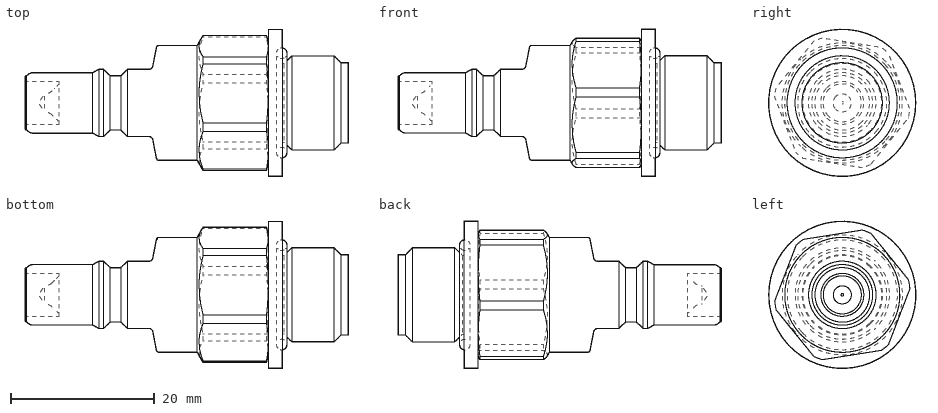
import cadquery as cq
import math


mouth_r = 3.6
mouth_round = 0.202
lead_in_end_x = 0.45
lead_in_end_r = 4.0
plug_r = 4.25
plug_blend_x = 1.0
plug_end_x = 9.4

land_r = 9.4 / 2
land_start_x = 10.25
land_end_x = 10.9
neck_r = 7.6 / 2
neck_start_x = 11.85
neck_end_x = 13.3
shank_start_x = 14.25

body_r = 8.0
body_fillet = 0.35
rim_tolerance = 0.05
body_root_x = 17.78
root_fillet = 0.55
body_front_x = 18.3

hex_across_flats = 16.95
hex_corner_diameter = hex_across_flats / math.cos(math.pi / 6)
hex_corner_r = 9.45
hex_turn_angle = -9.0
hex_start_x = 23.95
hex_chamfer_angle = 30
hex_front_chamfer = (hex_corner_r - body_r) * math.tan(math.radians(hex_chamfer_angle))
hex_back_r = 8.35
hex_back_chamfer = 0.25

flange_r = 10.25
flange_start_x = 33.9
flange_end_x = 35.8

thread_r = 6.55
undercut_r = 5.5
thread_start_x = 37.12
nose_r = 11.2 / 2
thread_end_x = 43.0
total_length = 45.0

ring_section_r = 1.5 / 2
ring_center_r = 6.95
ring_center_x = 35.75

bore_r = 6.0 / 2
tip_x = 2.0
tip_r = 0.2
tip_cone_r = 1.25
cone_base_r = 2.65
tip_cone_length = 0.7
stem_blend_r = 1.55
cone_angle = 45


def revolve_about_x(profile):
    """Turn a closed XY profile a full circle about the X axis."""
    return profile.revolve(360, (0, 0, 0), (1, 0, 0))


def make_plug():
    """Turned front part, from the mouth to the front of the hexagon."""
    mouth_edge_r = mouth_r + mouth_round
    half = math.sqrt(0.5)
    root_center_r = land_r + root_fillet
    root_arc_start_x = body_root_x - root_fillet
    root_mid = (root_arc_start_x + root_fillet * half, root_center_r - root_fillet * half)
    body = revolve_about_x(
        cq.Workplane("XY")
        .moveTo(0, 0)
        .lineTo(0, mouth_r)
        .threePointArc(
            (mouth_round * (1 - half), mouth_r + mouth_round * half),
            (mouth_round, mouth_edge_r),
        )
        .lineTo(lead_in_end_x, lead_in_end_r)
        .tangentArcPoint((plug_blend_x, plug_r), relative=False)
        .lineTo(plug_end_x, plug_r)
        .lineTo(land_start_x, land_r)
        .lineTo(land_end_x, land_r)
        .lineTo(neck_start_x, neck_r)
        .lineTo(neck_end_x, neck_r)
        .lineTo(shank_start_x, land_r)
        .lineTo(root_arc_start_x, land_r)
        .threePointArc(root_mid, (body_root_x, root_center_r))
        .lineTo(body_front_x, body_r)
        .lineTo(hex_start_x, body_r)
        .lineTo(hex_start_x, 0)
        .close()
    )
    rim = cq.selectors.BoxSelector(
        (body_front_x - rim_tolerance, -flange_r, -flange_r),
        (body_front_x + rim_tolerance, flange_r, flange_r),
    )
    return body.edges(rim).fillet(body_fillet)


def make_hexagon():
    """Hexagon with turned corners and conical chamfers at both ends."""
    prism = (
        cq.Workplane("YZ")
        .workplane(offset=hex_start_x)
        .polygon(6, hex_corner_diameter)
        .extrude(flange_start_x - hex_start_x)
        .rotate((0, 0, 0), (1, 0, 0), hex_turn_angle)
    )
    envelope = revolve_about_x(
        cq.Workplane("XY").polyline([
            (hex_start_x, 0),
            (hex_start_x, body_r),
            (hex_start_x + hex_front_chamfer, hex_corner_r),
            (flange_start_x - hex_back_chamfer, hex_corner_r),
            (flange_start_x, hex_back_r),
            (flange_start_x, 0),
        ]).close()
    )
    return prism.intersect(envelope)


def make_threaded_end():
    """Flange, undercut, thread cylinder and nose."""
    undercut_end_x = thread_start_x - (thread_r - undercut_r)
    nose_start_x = thread_end_x + (thread_r - nose_r)
    return revolve_about_x(
        cq.Workplane("XY").polyline([
            (flange_start_x, 0),
            (flange_start_x, flange_r),
            (flange_end_x, flange_r),
            (flange_end_x, undercut_r),
            (undercut_end_x, undercut_r),
            (thread_start_x, thread_r),
            (thread_end_x, thread_r),
            (nose_start_x, nose_r),
            (total_length, nose_r),
            (total_length, 0),
        ]).close()
    )


def make_bore():
    """Volume removed from the mouth, leaving a pointed cone on the floor."""
    tip_cone_end_x = tip_x + tip_cone_length
    slope = math.radians(cone_angle)
    blend_end_x = tip_cone_end_x + stem_blend_r * math.sin(slope)
    blend_end_r = tip_cone_r + stem_blend_r * (1 - math.cos(slope))
    blend_mid = (
        tip_cone_end_x + stem_blend_r * math.sin(slope / 2),
        tip_cone_r + stem_blend_r * (1 - math.cos(slope / 2)),
    )
    floor_x = blend_end_x + (cone_base_r - blend_end_r) / math.tan(slope)
    return revolve_about_x(
        cq.Workplane("XY")
        .moveTo(0, 0)
        .lineTo(0, bore_r)
        .lineTo(floor_x, bore_r)
        .lineTo(floor_x, cone_base_r)
        .lineTo(blend_end_x, blend_end_r)
        .threePointArc(blend_mid, (tip_cone_end_x, tip_cone_r))
        .lineTo(tip_x, tip_r)
        .lineTo(tip_x, 0)
        .close()
    )


def make_o_ring():
    """O-ring, half sunk into the back face of the flange."""
    return revolve_about_x(
        cq.Workplane("XY").center(ring_center_x, ring_center_r).circle(ring_section_r)
        .center(-ring_center_x, -ring_center_r)
    )


o_ring = make_o_ring()
nipple = make_plug().union(make_hexagon()).union(make_threaded_end())
nipple = nipple.cut(make_bore()).cut(o_ring)

result = cq.Compound.makeCompound([nipple.val(), o_ring.val()])